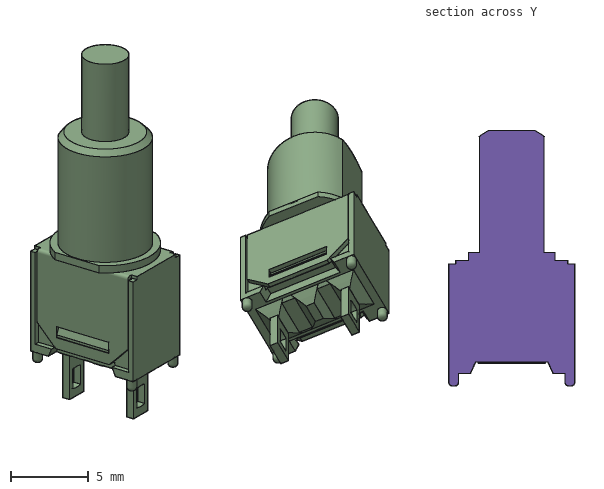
import cadquery as cq

OVERLAP = 0.05

BODY_LENGTH = 8.13
BODY_WIDTH = 5.16
BODY_TOP = 7.07

TOP_PLATE = 0.22
SIDE_PLATE = 0.30
BRACKET_INSET = 0.07
BRACKET_LENGTH = 7.22
BEND_RADIUS = 0.23
CORNER_NOTCH = 0.45
BRACKET_BOTTOM = 0.67
BRACKET_CORNER = 1.48
BRACKET_TOP = BODY_TOP + TOP_PLATE

RECESS_DEPTH = BRACKET_INSET + SIDE_PLATE
RECESS_GAP = 0.09
RECESS_LENGTH = BRACKET_LENGTH + 2 * RECESS_GAP
LEDGE_TOP = 0.58

NOTCH_TOP = 0.75
NOTCH_TOP_LENGTH = 4.64
NOTCH_BOTTOM_LENGTH = 5.32
NOTCH_FLOOR = 1.70

WINDOW_LENGTH = 4.13
WINDOW_BOTTOM = 1.46
WINDOW_TOP = 2.24
CATCH_NOSE = 1.63
CATCH_INSET = 0.05

WASHER_DIAMETER = 7.13
WASHER_WIDTH = 6.22
WASHER_THICKNESS = 0.52
BUSHING_DIAMETER = 6.10
BUSHING_CHAMFER = 0.38
BUSHING_FLAT = 2.69
BUSHING_TOP = 15.66
PLUNGER_DIAMETER = 3.05
OVERALL_HEIGHT = 24.77

TERMINAL_PITCH = 2.54
TERMINAL_THICKNESS = 0.55
TERMINAL_WIDTH = 1.59
TERMINAL_LENGTH = 3.63
EYE_WIDTH = 0.84
EYE_TOP = -1.56
EYE_BOTTOM = -3.04
EYE_CROWN = 0.06

SEAL_ROOT = (1.95, 3.00, 0)
SEAL_WAIST = (1.20, 2.15, -0.33)
SEAL_TIP = (0.58, 1.35, -0.62)
SEAL_LAYER_ROOT = (2 * TERMINAL_PITCH, 3.00, 0)
SEAL_LAYER_TIP = (2 * TERMINAL_PITCH, 2.55, -0.15)

PEG_DIAMETER = 0.65
PEG_LENGTH = 0.80
PEG_TIP_RADIUS = 0.26

PLUNGER_TOP = OVERALL_HEIGHT - TERMINAL_LENGTH
PLATE_FACE = BODY_WIDTH / 2 - BRACKET_INSET
RECESS_FLOOR = BODY_WIDTH / 2 - RECESS_DEPTH


def block(length, width, bottom, top):
    """Box centred on the Z axis between two heights."""
    return cq.Workplane("XY").workplane(offset=bottom).rect(length, width).extrude(top - bottom)


def on_both_sides(shape):
    """Shape on the -Y side joined with its mirror image on the +Y side."""
    return shape.union(shape.mirror("XZ"))


def front_profile(points, y_start, depth):
    """Mirror-symmetric XZ outline, given by its +X half, extruded toward +Y."""
    mirrored = [(-x, z) for x, z in reversed(points)]
    outline = cq.Workplane("XZ", origin=(0, y_start, 0)).polyline(points + mirrored).close()
    return outline.extrude(-depth)


def make_housing():
    """Block with a plate recess, corner ledges and a bottom notch on each long side."""
    half = RECESS_LENGTH / 2
    recess_points = [(half, LEDGE_TOP), (half, BODY_TOP)]
    notch_points = [(NOTCH_BOTTOM_LENGTH / 2, 0), (NOTCH_TOP_LENGTH / 2, NOTCH_TOP)]
    recess = front_profile(recess_points, -BODY_WIDTH / 2, RECESS_DEPTH)
    notch = front_profile(notch_points, -BODY_WIDTH / 2, BODY_WIDTH / 2 - NOTCH_FLOOR)
    return block(BODY_LENGTH, BODY_WIDTH, 0, BODY_TOP).cut(on_both_sides(recess.union(notch)))


def make_bracket():
    """Top plate bent down into two side plates with latch windows."""
    width = 2 * PLATE_FACE
    wrap = block(BRACKET_LENGTH, width, BRACKET_BOTTOM, BRACKET_TOP)
    wrap = wrap.edges("|X and >Z").fillet(BEND_RADIUS)
    wrap = wrap.edges("|Y and <Z").chamfer(BRACKET_CORNER)
    wrap = wrap.cut(block(BRACKET_LENGTH, 2 * RECESS_FLOOR, BRACKET_BOTTOM, BODY_TOP))
    wrap = wrap.cut(block(WINDOW_LENGTH, width, WINDOW_BOTTOM, WINDOW_TOP))
    top_plate = block(BODY_LENGTH, BODY_WIDTH - 2 * CORNER_NOTCH, BODY_TOP, BRACKET_TOP)
    return wrap.union(top_plate)


def make_catches():
    """Ramps that rise from the recess floor to a flat nose inside each window."""
    nose_y = -PLATE_FACE + CATCH_INSET
    ramp = (
        cq.Workplane("YZ", origin=(-WINDOW_LENGTH / 2, 0, 0))
        .moveTo(-RECESS_FLOOR + OVERLAP, WINDOW_TOP)
        .lineTo(-RECESS_FLOOR, WINDOW_TOP)
        .lineTo(nose_y, CATCH_NOSE)
        .lineTo(nose_y, WINDOW_BOTTOM)
        .lineTo(-RECESS_FLOOR + OVERLAP, WINDOW_BOTTOM)
        .close()
        .extrude(WINDOW_LENGTH)
    )
    return on_both_sides(ramp)


def make_washer():
    """Round washer with two flats facing +Y and -Y."""
    washer_top = BRACKET_TOP + WASHER_THICKNESS
    disc = cq.Workplane("XY").circle(WASHER_DIAMETER / 2).extrude(washer_top)
    return disc.intersect(block(WASHER_DIAMETER, WASHER_WIDTH, BRACKET_TOP, washer_top))


def make_bushing():
    """Chamfered cylinder with one keying flat."""
    bushing = (
        cq.Workplane("XY", origin=(0, 0, BRACKET_TOP))
        .circle(BUSHING_DIAMETER / 2)
        .extrude(BUSHING_TOP - BRACKET_TOP)
        .faces(">Z")
        .chamfer(BUSHING_CHAMFER)
    )
    beyond_flat = block(BUSHING_DIAMETER, BUSHING_DIAMETER, BRACKET_TOP, BUSHING_TOP)
    beyond_flat = beyond_flat.translate((-BUSHING_FLAT - BUSHING_DIAMETER / 2, 0, 0))
    return bushing.cut(beyond_flat)


def make_plunger():
    """Plain round button that rises through the bushing."""
    plunger = cq.Workplane("XY", origin=(0, 0, BRACKET_TOP)).circle(PLUNGER_DIAMETER / 2)
    return plunger.extrude(PLUNGER_TOP - BRACKET_TOP)


def make_terminal():
    """Flat solder lug with an eye whose upper and lower ends are slightly arched."""
    lug = block(TERMINAL_THICKNESS, TERMINAL_WIDTH, -TERMINAL_LENGTH, OVERLAP)
    half = EYE_WIDTH / 2
    eye = (
        cq.Workplane("YZ", origin=(-TERMINAL_THICKNESS / 2, 0, 0))
        .moveTo(-half, EYE_BOTTOM + EYE_CROWN)
        .threePointArc((0, EYE_BOTTOM), (half, EYE_BOTTOM + EYE_CROWN))
        .lineTo(half, EYE_TOP - EYE_CROWN)
        .threePointArc((0, EYE_TOP), (-half, EYE_TOP - EYE_CROWN))
        .close()
        .extrude(TERMINAL_THICKNESS)
    )
    return lug.cut(eye)


def tapered_block(upper, lower):
    """Frustum between two centred rectangles, each given as X size, Y size and Z."""
    upper_x, upper_y, upper_z = upper
    lower_x, lower_y, lower_z = lower
    frustum = cq.Workplane("XY", origin=(0, 0, upper_z)).rect(upper_x, upper_y)
    return frustum.workplane(offset=lower_z - upper_z).rect(lower_x, lower_y).loft(ruled=True)


def make_seal():
    """Thin layer of sealing compound with a flared mound at each terminal position."""
    seal = tapered_block(SEAL_LAYER_ROOT, SEAL_LAYER_TIP)
    mound = tapered_block(SEAL_ROOT, SEAL_WAIST).union(tapered_block(SEAL_WAIST, SEAL_TIP))
    for x in (-TERMINAL_PITCH, 0, TERMINAL_PITCH):
        seal = seal.union(mound.translate((x, 0, 0)))
    return seal


def make_peg():
    """Round peg with a rounded tip."""
    peg = cq.Workplane("XY").circle(PEG_DIAMETER / 2).extrude(-PEG_LENGTH)
    return peg.faces("<Z").edges().fillet(PEG_TIP_RADIUS)


result = make_housing()
for feature in (make_bracket(), make_catches(), make_washer(), make_bushing(), make_plunger(), make_seal()):
    result = result.union(feature)

peg_x = (BODY_LENGTH - PEG_DIAMETER) / 2
peg_y = (BODY_WIDTH - PEG_DIAMETER) / 2
for side in (-1, 1):
    result = result.union(make_terminal().translate((side * TERMINAL_PITCH, 0, 0)))
    for end in (-1, 1):
        result = result.union(make_peg().translate((side * peg_x, end * peg_y, 0)))